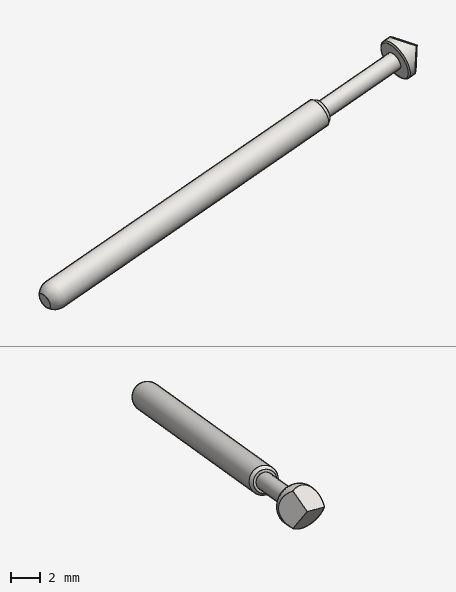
import cadquery as cq
import math

total_length = 33.1
head_diameter = 3.0
head_length = 2.02
head_edge_chamfer = 0.1
facet_count = 3
facet_angle = 45.0

neck_diameter = 1.3
barrel_diameter = 2.1
barrel_length = 24.63
barrel_chamfer_length = 0.3
barrel_chamfer_depth = 0.2
tail_flat_diameter = 1.15
tail_round_length = 0.85

head_radius = head_diameter / 2
neck_radius = neck_diameter / 2
barrel_radius = barrel_diameter / 2
tail_flat_radius = tail_flat_diameter / 2
head_base = total_length - head_length

tail_inset = barrel_radius - tail_flat_radius
tail_arc_radius = (tail_round_length**2 + tail_inset**2) / (2 * tail_inset)
tail_half_sweep = math.asin(tail_round_length / tail_arc_radius) / 2
tail_arc_middle = (
    barrel_radius - tail_arc_radius * (1 - math.cos(tail_half_sweep)),
    tail_round_length - tail_arc_radius * math.sin(tail_half_sweep),
)


def turned_body():
    """Barrel, neck and head blank, revolved about Y from one half profile."""
    profile = (
        cq.Workplane("XY")
        .lineTo(tail_flat_radius, 0)
        .threePointArc(tail_arc_middle, (barrel_radius, tail_round_length))
        .lineTo(barrel_radius, barrel_length - barrel_chamfer_length)
        .lineTo(barrel_radius - barrel_chamfer_depth, barrel_length)
        .lineTo(neck_radius, barrel_length)
        .lineTo(neck_radius, head_base)
        .lineTo(head_radius - head_edge_chamfer, head_base)
        .lineTo(head_radius, head_base + head_edge_chamfer)
        .lineTo(head_radius, total_length)
        .lineTo(0, total_length)
        .close()
    )
    return profile.revolve(360, (0, 0, 0), (0, 1, 0))


def facet_cutter():
    """Wedge above the facet that faces +X, starting at the point of the head."""
    reach = head_diameter
    drop = reach / math.tan(math.radians(facet_angle))
    return (
        cq.Workplane("XY")
        .moveTo(0, total_length)
        .lineTo(reach, total_length)
        .lineTo(reach, total_length - drop)
        .close()
        .extrude(head_diameter, both=True)
    )


result = turned_body()

for facet in range(facet_count):
    turn = facet * 360 / facet_count
    result = result.cut(facet_cutter().rotate((0, 0, 0), (0, 1, 0), turn))